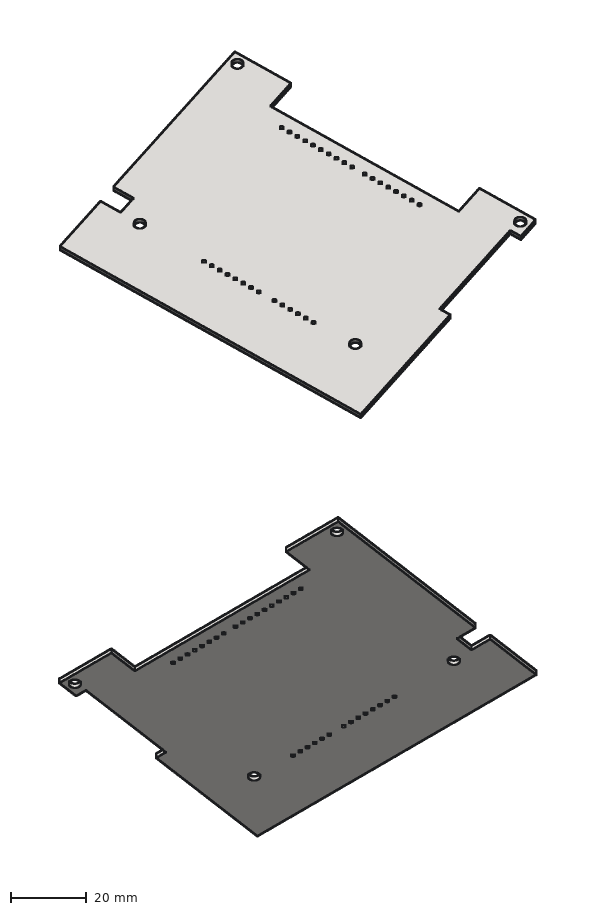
import cadquery as cq

width = 97.5
depth = 80.0
thickness = 1.6

back_notch_inset = 18.2
back_notch_depth = 9.5
right_notch_depth = 3.4
right_notch_length = 32.3
right_notch_offset = 6.8
left_notch_depth = 6.5
left_notch_length = 5.85
left_notch_start = 18.6

mount_diameter = 3.2
corner_inset = 2.9
front_mount_y = 18.4
front_mount_left_x = 12.9
front_mount_right_x = 82.7

pin_diameter = 1.0
pin_pitch = 2.5
header_right_x = 69.5
front_header_y = 17.9
back_header_y = 66.4
back_header_gap = 4.1
front_header_gap = 2 * pin_pitch


def row_length(count):
    return (count - 1) * pin_pitch


def pin_row(count, last_x, y):
    """Hole centers of a row that ends at last_x."""
    return [(last_x - i * pin_pitch, y) for i in range(count)]


def header(left_count, right_count, gap, y):
    """Hole centers of two rows separated by a gap."""
    left_end_x = header_right_x - row_length(right_count) - gap
    return pin_row(left_count, left_end_x, y) + pin_row(right_count, header_right_x, y)


def cut_box(body, x, y, size_x, size_y):
    """Cut a rectangle through the board from its lower left corner."""
    cutter = cq.Workplane("XY").box(size_x, size_y, thickness, centered=False)
    return body.cut(cutter.translate((x, y, 0)))


def drill(body, centers, diameter):
    cutters = cq.Workplane("XY").pushPoints(centers).circle(diameter / 2).extrude(thickness)
    return body.cut(cutters)


board = cq.Workplane("XY").box(width, depth, thickness, centered=False)

board = cut_box(
    board, back_notch_inset, depth - back_notch_depth, width - 2 * back_notch_inset, back_notch_depth
)
right_notch_start = depth - right_notch_offset - right_notch_length
board = cut_box(
    board, width - right_notch_depth, right_notch_start, right_notch_depth, right_notch_length
)
board = cut_box(board, 0, left_notch_start, left_notch_depth, left_notch_length)

mount_centers = [
    (corner_inset, depth - corner_inset),
    (width - corner_inset, depth - corner_inset),
    (front_mount_left_x, front_mount_y),
    (front_mount_right_x, front_mount_y),
]
board = drill(board, mount_centers, mount_diameter)

board = drill(board, header(10, 8, back_header_gap, back_header_y), pin_diameter)
board = drill(board, header(8, 6, front_header_gap, front_header_y), pin_diameter)

result = board